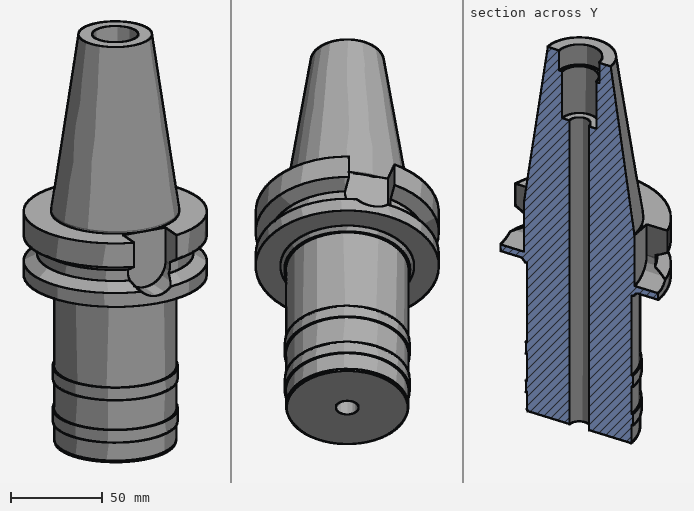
import cadquery as cq

total_height = 236.8
gauge_height = 135.0

gauge_radius = 34.93
taper_ratio = 7 / 24
taper_top_radius = gauge_radius - (total_height - gauge_height) * taper_ratio / 2

flange_radius = 50.0
flange_top = 133.8
flange_bottom = 96.9
groove_floor_radius = 42.6
groove_upper_edge = 119.8
groove_lower_edge = 105.0
groove_side_height = 4.3
collar_top_radius = 36.5
collar_bottom_radius = 34.3
collar_height = 2.4

nose_radius = 33.5
nose_chamfer_height = 1.2
nose_chamfer_width = 0.5
band_radius = 34.0
band_height = 7.3
band_bottoms = (11.8, 36.5)

slot_width = 25.8
slot_floor_distance = 35.0
slot_bottom = 101.4

mouth_radius = 12.5
mouth_depth = 12.8
thread_radius = 10.7
thread_depth = 42.6
through_radius = 6.2


def make_body():
    """Revolve the shank, flange and nose about the Z axis."""
    collar_bottom = flange_bottom - collar_height
    profile = [
        (0, 0),
        (nose_radius - nose_chamfer_width, 0),
        (nose_radius, nose_chamfer_height),
        (nose_radius, collar_bottom),
        (collar_bottom_radius, collar_bottom),
        (collar_top_radius, flange_bottom),
        (flange_radius, flange_bottom),
        (flange_radius, groove_lower_edge),
        (groove_floor_radius, groove_lower_edge + groove_side_height),
        (groove_floor_radius, groove_upper_edge - groove_side_height),
        (flange_radius, groove_upper_edge),
        (flange_radius, flange_top),
        (gauge_radius, flange_top),
        (gauge_radius, gauge_height),
        (taper_top_radius, total_height),
        (0, total_height),
    ]
    return cq.Workplane("XZ").polyline(profile).close().revolve(360, (0, 0), (0, 1))


def make_cylinder(radius, bottom, top):
    """Make a cylinder on the Z axis between two heights."""
    return cq.Workplane("XY").workplane(offset=bottom).circle(radius).extrude(top - bottom)


def make_drive_slot(side):
    """Make a round-ended slot cutter on the +X (side=1) or -X (side=-1) side."""
    half_width = slot_width / 2
    arc_center = slot_bottom + half_width
    return (
        cq.Workplane("YZ", origin=(side * slot_floor_distance, 0, 0))
        .moveTo(-half_width, flange_top)
        .lineTo(-half_width, arc_center)
        .threePointArc((0, slot_bottom), (half_width, arc_center))
        .lineTo(half_width, flange_top)
        .close()
        .extrude(side * flange_radius)
    )


result = make_body()

for band_bottom in band_bottoms:
    result = result.union(make_cylinder(band_radius, band_bottom, band_bottom + band_height))

for side in (-1, 1):
    result = result.cut(make_drive_slot(side))

result = result.cut(make_cylinder(mouth_radius, total_height - mouth_depth, total_height))
result = result.cut(make_cylinder(thread_radius, total_height - thread_depth, total_height))
result = result.cut(make_cylinder(through_radius, 0, total_height))